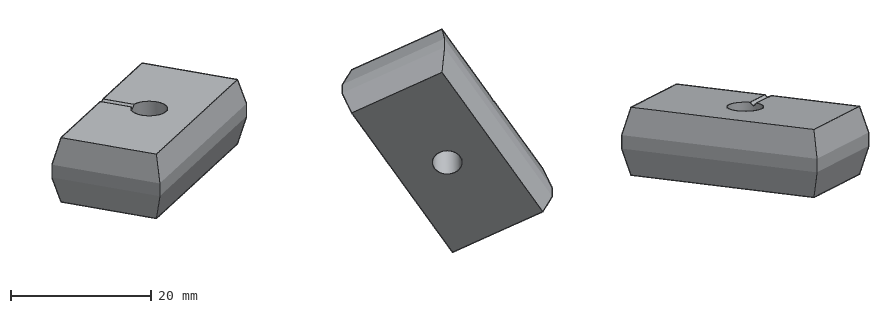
import cadquery as cq

width = 16.8
length = 31.0
height = 10.0
top = height / 2

edge_inset = 1.0
band_height = 1.98
slope_height = (height - band_height) / 2

bore_diameter = 5.2
bore_depth = 3.0
hole_diameter = 4.22
cone_depth = (bore_diameter - hole_diameter) / 2

groove_width = 1.0
groove_depth = groove_width / 2


def make_half_block():
    """Upper half of the block: half of the straight band, then the sloped sides."""
    return (
        cq.Workplane("XY")
        .rect(width, length)
        .extrude(top)
        .faces(">Z")
        .chamfer(slope_height, edge_inset)
    )


def make_block():
    """Block made of the upper half and its mirror image below."""
    upper_half = make_half_block()
    return upper_half.union(upper_half.mirror("XY")).clean()


def make_hole():
    """Solid of revolution about Z that removes the bore, its cone and the narrow hole."""
    bore_radius = bore_diameter / 2
    hole_radius = hole_diameter / 2
    cone_top = top - bore_depth
    return (
        cq.Workplane("XZ")
        .moveTo(0, top)
        .lineTo(bore_radius, top)
        .lineTo(bore_radius, cone_top)
        .lineTo(hole_radius, cone_top - cone_depth)
        .lineTo(hole_radius, -top)
        .lineTo(0, -top)
        .close()
        .revolve(360, (0, 0), (0, 1))
    )


def make_groove():
    """Triangular bar under the top face, running from the -X side to the hole axis."""
    return (
        cq.Workplane("YZ", origin=(-width / 2, 0, 0))
        .moveTo(-groove_width / 2, top)
        .lineTo(0, top - groove_depth)
        .lineTo(groove_width / 2, top)
        .close()
        .extrude(width / 2)
    )


result = make_block().cut(make_hole()).cut(make_groove())